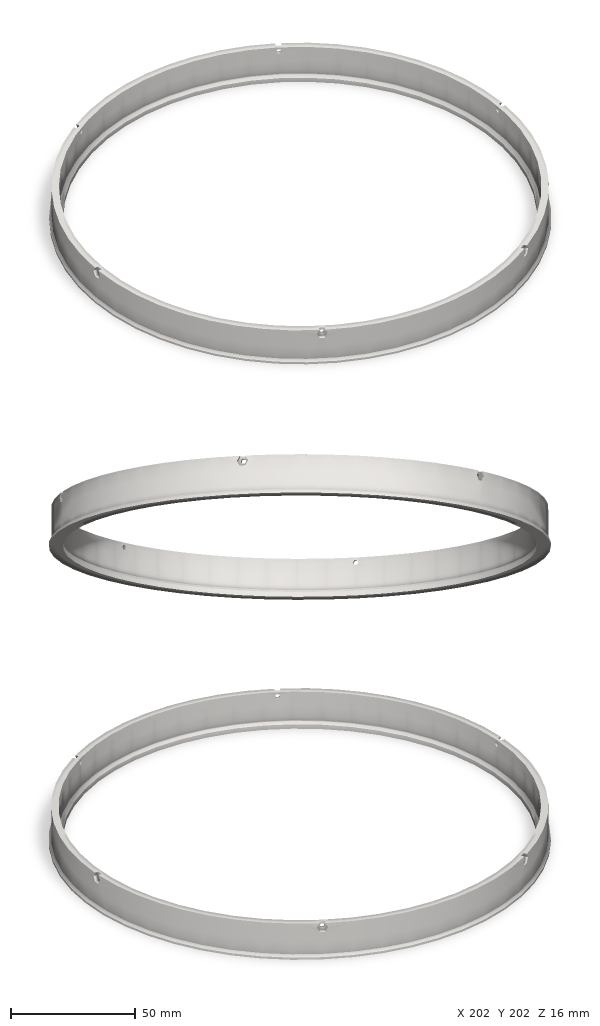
import cadquery as cq
import math

height = 16.0
wall_diameter = 200.0
bore_diameter = 194.1

flange_diameter = 202.0
flange_thickness = 1.0
flange_taper = (flange_diameter - wall_diameter) / 2

lip_diameter = 190.7
lip_height = 3.0
lip_chamfer = 1.0

hole_count = 6
hole_diameter = 2.0
nut_across_flats = 4.0
nut_pocket_depth = 1.6
hole_height = height - nut_across_flats / 2
cut_clearance = 1.0

wall_radius = wall_diameter / 2
bore_radius = bore_diameter / 2
flange_radius = flange_diameter / 2
lip_radius = lip_diameter / 2


def ring_body():
    """Revolve the wall, flange and lip section about the Z axis."""
    section = (
        cq.Workplane("XZ")
        .moveTo(lip_radius, 0)
        .lineTo(flange_radius, 0)
        .lineTo(flange_radius, flange_thickness)
        .lineTo(wall_radius, flange_thickness + flange_taper)
        .lineTo(wall_radius, height)
        .lineTo(bore_radius, height)
        .lineTo(bore_radius, lip_height)
        .lineTo(lip_radius + lip_chamfer, lip_height)
        .lineTo(lip_radius, lip_height - lip_chamfer)
        .close()
    )
    return section.revolve(360, (0, 0, 0), (0, 1, 0))


def nut_hole_cutter():
    """Screw hole and hexagonal nut pocket along +X, with two nut flats level."""
    nut_across_corners = nut_across_flats / math.cos(math.pi / 6)
    outer_end = wall_radius + cut_clearance
    pocket_floor = wall_radius - nut_pocket_depth
    hole = (
        cq.Workplane("YZ", origin=(lip_radius, 0, hole_height))
        .circle(hole_diameter / 2)
        .extrude(outer_end - lip_radius)
    )
    pocket = (
        cq.Workplane("YZ", origin=(pocket_floor, 0, hole_height))
        .polygon(6, nut_across_corners)
        .extrude(outer_end - pocket_floor)
    )
    return hole.union(pocket)


result = ring_body()
for index in range(hole_count):
    angle = index * 360 / hole_count
    result = result.cut(nut_hole_cutter().rotate((0, 0, 0), (0, 0, 1), angle))